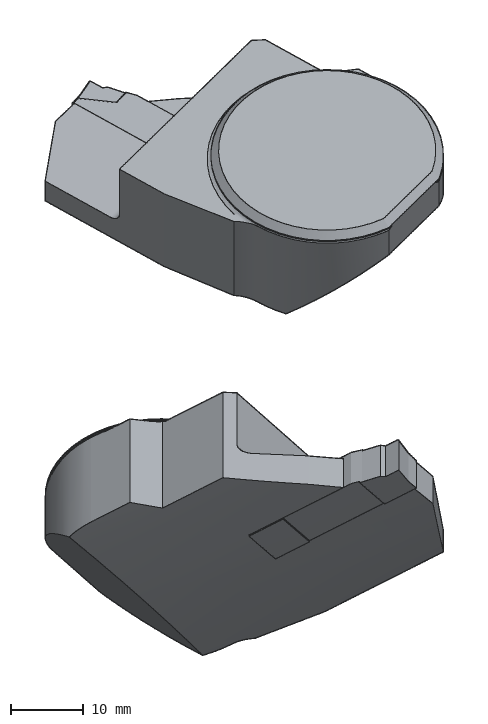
import cadquery as cq
import math

TOTAL_HEIGHT = 18.35
DISC_RADIUS = 16.05
DISC_CHAMFER_WIDTH = 1.05
DISC_CHAMFER_HEIGHT = 0.95
DISC_BOTTOM = 17.15
NECK_RADIUS = 15.8
NECK_FOOT_RADIUS = 16.55
BLOCK_TOP = 16.65
FLAT_X = 15.0

WALL_X = -21.7
FILLET_RADIUS = 1.6
PLATE_LEFT_TOP = 5.55
PLATE_TILT = 1.3

PLATE_TIP_X = -40.3
PLATE_SIDE_Y = -18.8
BLOCK_BACK_Y = 12.75
HOLDER_BOTTOM = 0.2
BELLY_RADIUS = 117.8
BELLY_Y = 0.85

SLOPE_TOP = 11.85

INSERT_TIP_X = -41.1
INSERT_END_X = -16.4
INSERT_FRONT_Y = -4.45
INSERT_BACK_Y = 1.6
INSERT_TOP = 6.0
INSERT_FOOT_LENGTH = 5.9
CHIP_DEPTH = 0.15
TIP_CHAMFER = 0.35
TIP_RAKE = 0.4

CUT_MARGIN = 11.2
FULL_X = 89.75


def belly_cylinder(lowest_z):
    """Large cylinder along X whose lowest line shapes an underside."""
    return (
        cq.Workplane("YZ")
        .center(BELLY_Y, lowest_z + BELLY_RADIUS)
        .circle(BELLY_RADIUS)
        .extrude(FULL_X / 2, both=True)
    )


def holder_outline():
    """Block, lug and plate seen along Z, with a round +X end."""
    flat_half = math.sqrt(DISC_RADIUS**2 - FLAT_X**2)
    arc_mid = DISC_RADIUS * math.sqrt(0.5)
    return (
        cq.Workplane("XY")
        .moveTo(0, -DISC_RADIUS)
        .threePointArc((arc_mid, -arc_mid), (FLAT_X, -flat_half))
        .lineTo(FLAT_X, flat_half)
        .threePointArc((arc_mid, arc_mid), (0, DISC_RADIUS))
        .lineTo(-6.7, DISC_RADIUS)
        .lineTo(-9.8, BLOCK_BACK_Y)
        .lineTo(-20.25, BLOCK_BACK_Y)
        .lineTo(-29.35, 4.9)
        .lineTo(-32.7, INSERT_BACK_Y)
        .lineTo(PLATE_TIP_X, INSERT_BACK_Y)
        .lineTo(PLATE_TIP_X, -8.8)
        .lineTo(-34.55, PLATE_SIDE_Y)
        .lineTo(-14, PLATE_SIDE_Y)
        .lineTo(-3.2, -17.15)
        .threePointArc((-1.7, -16.3), (0, -DISC_RADIUS))
        .close()
    )


def step_cutter(start_y, length):
    """Space above the plate, rounded along the foot of the step."""
    far_x = INSERT_TIP_X - CUT_MARGIN
    foot_x = WALL_X - FILLET_RADIUS
    arc_offset = FILLET_RADIUS * (1 - math.sqrt(0.5))
    top = TOTAL_HEIGHT + CUT_MARGIN
    return (
        cq.Workplane("XZ", origin=(0, start_y, 0))
        .moveTo(far_x, PLATE_LEFT_TOP)
        .lineTo(foot_x, PLATE_LEFT_TOP)
        .threePointArc(
            (WALL_X - arc_offset, PLATE_LEFT_TOP + arc_offset),
            (WALL_X, PLATE_LEFT_TOP + FILLET_RADIUS),
        )
        .lineTo(WALL_X, top)
        .lineTo(far_x, top)
        .close()
        .extrude(length)
    )


def disc():
    """Chamfered disc, cut by the +X flat."""
    top_radius = DISC_RADIUS - DISC_CHAMFER_WIDTH
    round_disc = (
        cq.Workplane("XZ")
        .moveTo(0, DISC_BOTTOM)
        .lineTo(DISC_RADIUS, DISC_BOTTOM)
        .lineTo(DISC_RADIUS, TOTAL_HEIGHT - DISC_CHAMFER_HEIGHT)
        .lineTo(top_radius, TOTAL_HEIGHT)
        .lineTo(0, TOTAL_HEIGHT)
        .close()
        .revolve(360, (0, 0), (0, 1))
    )
    flat_profile = (
        cq.Workplane("XZ")
        .moveTo(FLAT_X, DISC_BOTTOM)
        .lineTo(FLAT_X, TOTAL_HEIGHT - DISC_CHAMFER_HEIGHT)
        .lineTo(FLAT_X - DISC_CHAMFER_WIDTH, TOTAL_HEIGHT)
        .lineTo(-FULL_X, TOTAL_HEIGHT)
        .lineTo(-FULL_X, DISC_BOTTOM)
        .close()
        .extrude(FULL_X, both=True)
    )
    return round_disc.intersect(flat_profile)


def neck_groove():
    """Ring removed above the block, leaving a neck with a concave foot."""
    outer_radius = FULL_X / 2
    foot_arc_mid = (16.05, 16.85)
    return (
        cq.Workplane("XZ")
        .moveTo(outer_radius, BLOCK_TOP)
        .lineTo(NECK_FOOT_RADIUS, BLOCK_TOP)
        .threePointArc(foot_arc_mid, (NECK_RADIUS, DISC_BOTTOM))
        .lineTo(outer_radius, DISC_BOTTOM)
        .close()
        .revolve(360, (0, 0), (0, 1))
    )


def end_slope():
    """45 degree wedge removed from under the +X end."""
    return (
        cq.Workplane("XZ")
        .moveTo(FLAT_X, SLOPE_TOP)
        .lineTo(FLAT_X + CUT_MARGIN, SLOPE_TOP + CUT_MARGIN)
        .lineTo(FLAT_X + CUT_MARGIN, -CUT_MARGIN)
        .lineTo(FLAT_X - SLOPE_TOP - CUT_MARGIN, -CUT_MARGIN)
        .close()
        .extrude(FULL_X, both=True)
    )


def insert_envelope(lowering=0):
    """Bar under the sideways-sloping top of the insert, lowered if asked."""
    return (
        cq.Workplane("YZ", origin=(INSERT_TIP_X, 0, 0))
        .moveTo(INSERT_FRONT_Y, 0)
        .lineTo(INSERT_BACK_Y, 0)
        .lineTo(INSERT_BACK_Y, INSERT_TOP - lowering)
        .lineTo(INSERT_FRONT_Y, PLATE_LEFT_TOP - lowering)
        .close()
        .extrude(INSERT_END_X - INSERT_TIP_X)
    )


def insert_clearance():
    """Opening above the insert, with one rounded corner at the wall."""
    width = INSERT_BACK_Y - INSERT_FRONT_Y
    return (
        cq.Workplane("XY")
        .box(WALL_X - INSERT_TIP_X, width, FILLET_RADIUS, centered=False)
        .translate((INSERT_TIP_X, INSERT_FRONT_Y, PLATE_LEFT_TOP))
        .edges("|Z and >X and >Y")
        .fillet(FILLET_RADIUS)
    )


def make_holder():
    body = holder_outline().extrude(DISC_BOTTOM)
    body = body.intersect(belly_cylinder(HOLDER_BOTTOM))
    flat_step = step_cutter(FULL_X / 2, FULL_X / 2 - INSERT_FRONT_Y)
    tilted_step = step_cutter(INSERT_FRONT_Y, FULL_X / 2).rotate(
        (0, INSERT_FRONT_Y, PLATE_LEFT_TOP),
        (1, INSERT_FRONT_Y, PLATE_LEFT_TOP),
        -PLATE_TILT,
    )
    body = body.cut(flat_step).cut(tilted_step)
    body = body.cut(neck_groove()).union(disc())
    return body.cut(end_slope()).cut(insert_envelope()).cut(insert_clearance())


def make_insert():
    tip_back_y = 0.1
    tip_front_x = INSERT_TIP_X + TIP_RAKE
    tip_bend_y = -2.65
    chip_inner_y = -1.0
    chip_front_y = -3.75
    chip_back = (-35.6, 1.2)
    body = (
        cq.Workplane("XY")
        .moveTo(INSERT_TIP_X, tip_back_y)
        .lineTo(-38.8, tip_back_y)
        .lineTo(-38.3, 0.6)
        .lineTo(*chip_back)
        .lineTo(-34.05, INSERT_BACK_Y)
        .lineTo(INSERT_END_X, INSERT_BACK_Y)
        .lineTo(INSERT_END_X, INSERT_FRONT_Y)
        .lineTo(tip_front_x, INSERT_FRONT_Y)
        .lineTo(tip_front_x, tip_bend_y)
        .close()
        .extrude(INSERT_TOP)
        .intersect(insert_envelope())
        .intersect(belly_cylinder(0))
    )
    relief_length = INSERT_END_X - INSERT_TIP_X - 2 * INSERT_FOOT_LENGTH
    relief = (
        cq.Workplane("XY")
        .box(relief_length, FULL_X, CUT_MARGIN, centered=(False, True, True))
        .translate((INSERT_TIP_X + INSERT_FOOT_LENGTH, 0, 0))
        .cut(belly_cylinder(HOLDER_BOTTOM))
    )
    chip_pocket = (
        cq.Workplane("XY")
        .moveTo(INSERT_TIP_X, INSERT_BACK_Y)
        .lineTo(chip_back[0], INSERT_BACK_Y)
        .lineTo(chip_back[0], chip_inner_y)
        .lineTo(INSERT_TIP_X, chip_front_y)
        .close()
        .extrude(TOTAL_HEIGHT)
        .cut(insert_envelope(CHIP_DEPTH))
    )
    tip_edges = cq.selectors.BoxSelector(
        (INSERT_TIP_X, INSERT_FRONT_Y, PLATE_LEFT_TOP - 0.55),
        (tip_front_x + TIP_CHAMFER / 2, tip_back_y, INSERT_TOP),
        boundingbox=False,
    )
    body = body.edges(tip_edges).chamfer(TIP_CHAMFER)
    return body.cut(relief).cut(chip_pocket)


holder = make_holder()
insert = make_insert()
result = cq.Compound.makeCompound([holder.val(), insert.val()])